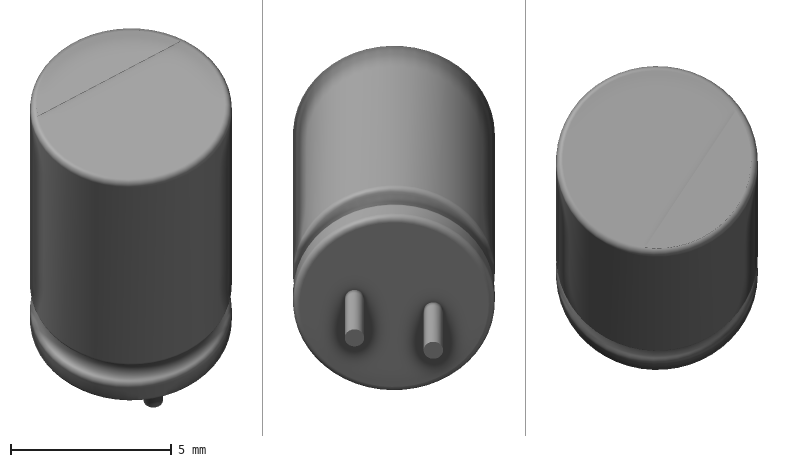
import cadquery as cq
import math

total_height = 13.52
can_diameter = 6.3
lead_length = 2.5
mark_thickness = 0.02
can_height = total_height - lead_length - mark_thickness
can_radius = can_diameter / 2

edge_radius = 0.2
groove_radius = 0.46
groove_height = 1.37

mark_edge_x = -1.23
mark_radius = can_radius - edge_radius

lead_diameter = 0.61
lead_pitch = 2.5


def make_can():
    """Revolve the can with rounded rims and a groove blended into the wall."""
    rim_radius = can_radius - edge_radius

    center_distance = groove_radius + edge_radius
    lip_offset = math.sqrt(center_distance**2 - edge_radius**2)
    groove_share = groove_radius / center_distance
    tangent_radius = can_radius - edge_radius * groove_share
    tangent_offset = lip_offset * groove_share

    lip_turn = math.acos(edge_radius / center_distance)
    lip_mid_radius = rim_radius + edge_radius * math.cos(lip_turn / 2)
    lip_mid_offset = lip_offset - edge_radius * math.sin(lip_turn / 2)

    rim_mid_inset = edge_radius * (1 - math.sqrt(0.5))
    rim_mid_radius = can_radius - rim_mid_inset

    profile = (
        cq.Workplane("XZ")
        .lineTo(rim_radius, 0)
        .threePointArc((rim_mid_radius, rim_mid_inset), (can_radius, edge_radius))
        .lineTo(can_radius, groove_height - lip_offset)
        .threePointArc(
            (lip_mid_radius, groove_height - lip_mid_offset),
            (tangent_radius, groove_height - tangent_offset),
        )
        .threePointArc(
            (can_radius - groove_radius, groove_height),
            (tangent_radius, groove_height + tangent_offset),
        )
        .threePointArc(
            (lip_mid_radius, groove_height + lip_mid_offset),
            (can_radius, groove_height + lip_offset),
        )
        .lineTo(can_radius, can_height - edge_radius)
        .threePointArc((rim_mid_radius, can_height - rim_mid_inset), (rim_radius, can_height))
        .lineTo(0, can_height)
        .close()
    )
    return profile.revolve(360, (0, 0), (0, 1))


def make_polarity_mark():
    """Thin circular segment lying on the flat top of the can."""
    half_chord = math.sqrt(mark_radius**2 - mark_edge_x**2)
    return (
        cq.Workplane("XY", origin=(0, 0, can_height))
        .moveTo(mark_edge_x, half_chord)
        .threePointArc((-mark_radius, 0), (mark_edge_x, -half_chord))
        .close()
        .extrude(mark_thickness)
    )


def make_lead(x):
    """Round lead hanging from the underside of the can."""
    return cq.Workplane("XY").center(x, 0).circle(lead_diameter / 2).extrude(-lead_length)


can = make_can()
polarity_mark = make_polarity_mark()
leads = [make_lead(side * lead_pitch / 2) for side in (-1, 1)]

result = cq.Compound.makeCompound(
    [can.val(), polarity_mark.val(), *[lead.val() for lead in leads]]
)